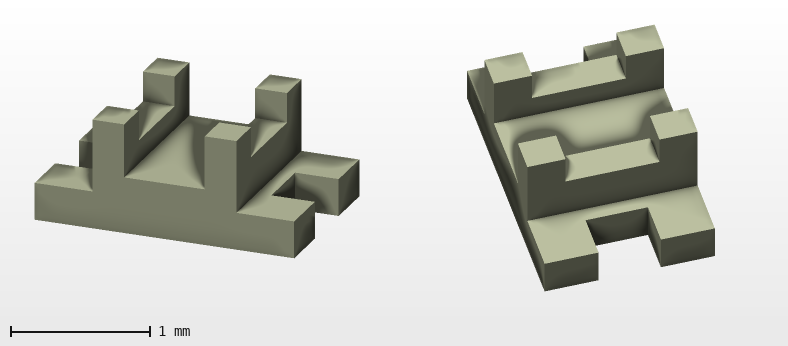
import cadquery as cq

length = 2.0
width = 1.27
height = 0.84

base_height = 0.285
notch_depth = 0.335
notch_width = 0.465

block_length = 1.11
channel_length = 0.62
channel_floor = 0.43

gap_width = 0.70
gap_floor = 0.61


def box_on(z_bottom, z_top, x_size, y_size, x_center=0):
    """Box centred on the X axis, spanning z_bottom to z_top."""
    return (
        cq.Workplane("XY", origin=(x_center, 0, z_bottom))
        .rect(x_size, y_size)
        .extrude(z_top - z_bottom)
    )


def make_base():
    base = box_on(0, base_height, length, width)
    notch_center = (length - notch_depth) / 2
    for side in (-1, 1):
        notch = box_on(0, base_height, notch_depth, notch_width, side * notch_center)
        base = base.cut(notch)
    return base


def make_block():
    block = box_on(0, height, block_length, width)
    channel = box_on(channel_floor, height, channel_length, width)
    gap = box_on(gap_floor, height, block_length, gap_width)
    return block.cut(channel).cut(gap)


result = make_base().union(make_block())